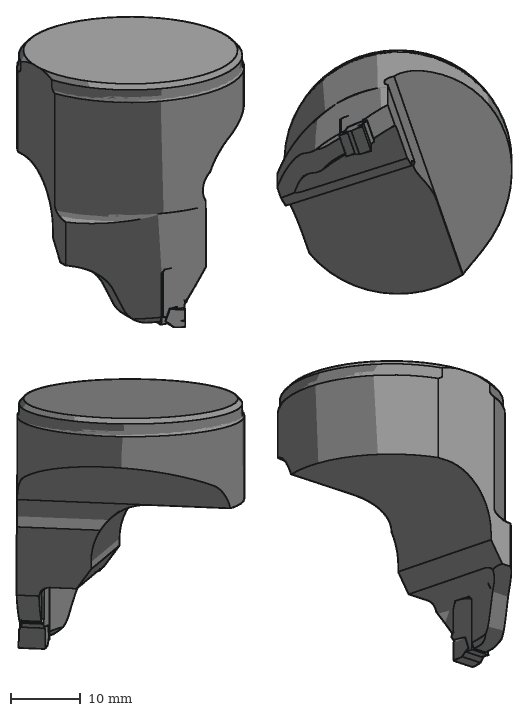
import cadquery as cq
import math

head_radius = 16.3
rim_radius = 16.02
top_face_radius = 15.35
rim_chamfer_height = 0.7
rim_bottom_z = -1.75
rim_flare_middle = (16.09, -2.2)
rim_flare_bottom_z = -2.5
head_bottom_z = -19.45
front_flat_y = -15.3
reach = 2 * head_radius

blade_radius = 20.0
blade_outer_axis = (-3.75, 0.2)
blade_inner_axis = (-7.0, 0)
blade_bottom_z = -35.9
chamfer_height = 0.8
chamfer_width = 0.4
shelf_z = -27.3
shelf_fillet = 1.6
flare_radius = 1.5

relief_z = -14.55
relief_radius = 8.8
relief_wall_x = 5.0
relief_wall_bottom_z = -24.4
relief_chamfer_end = (7.9, -28.4)

back_slope_start = (head_radius, -7.0)
back_slope_end = (8.17, -10.68)
back_curve_middle = (6.33, -12.05)
back_curve_end = (4.6, -14.5)
back_hollow_middle = (3.25, -16.7)
back_wall_y = 3.75
back_wall_top_z = -18.65
jaw_slope_top_z = -28.6
jaw_slope_end = (0.45, -33.05)

runout_top_z = -27.5
runout_start_y = -14.86
runout_hollow_radius = 5.3
runout_round_radius = 3.9
runout_angle = math.radians(66.3)

insert_left_x = 12.65
insert_right_x = 15.95
insert_front_y = -3.48
insert_rake_y = 0.1
insert_tip_z = -37.0
cutting_head_left_x = 12.5
cutting_head_right_x = 16.5
cutting_head_front_left_x = 12.58
cutting_head_front_right_x = 16.05
cutting_head_front_y = -2.9
cutting_head_top_z = -33.75
cutting_head_bevel_height = 0.55
cutting_head_upper_right_x = 16.4
cutting_corner_z = -36.1
cutting_corner_chamfer = 0.15


def revolved(profile, axis=(0, 0)):
    """Turn an (r, z) profile about a vertical axis through the given (x, y)."""
    turned = profile.close().revolve(360, (0, 0, 0), (0, 1, 0))
    return turned.translate((axis[0], axis[1], 0))


def arc_middle(centre, radius, angle):
    return (centre[0] + radius * math.cos(angle), centre[1] + radius * math.sin(angle))


def make_head_disc():
    profile = (
        cq.Workplane("XZ")
        .moveTo(0, 0)
        .lineTo(top_face_radius, 0)
        .lineTo(rim_radius, -rim_chamfer_height)
        .lineTo(rim_radius, rim_bottom_z)
        .threePointArc(rim_flare_middle, (head_radius, rim_flare_bottom_z))
        .lineTo(head_radius, head_bottom_z)
        .lineTo(0, head_bottom_z)
    )
    return revolved(profile)


def make_blade_blank():
    """Round blade blank, trimmed above by the flare that leads into the head wall."""
    blank_profile = (
        cq.Workplane("XZ")
        .moveTo(0, relief_z)
        .lineTo(blade_radius, relief_z)
        .lineTo(blade_radius, blade_bottom_z + chamfer_height)
        .lineTo(blade_radius - chamfer_width, blade_bottom_z)
        .lineTo(0, blade_bottom_z)
    )
    blank = revolved(blank_profile, blade_outer_axis)
    flare_centre = (head_radius + flare_radius, head_bottom_z)
    flare_bottom_z = head_bottom_z - flare_radius
    envelope = (
        cq.Workplane("XZ")
        .moveTo(0, relief_z)
        .lineTo(head_radius, relief_z)
        .lineTo(head_radius, head_bottom_z)
        .threePointArc(
            arc_middle(flare_centre, flare_radius, math.radians(225)),
            (flare_centre[0], flare_bottom_z),
        )
        .lineTo(reach, flare_bottom_z)
        .lineTo(reach, blade_bottom_z)
        .lineTo(0, blade_bottom_z)
    )
    return blank.intersect(revolved(envelope))


def make_front_flat_cutter():
    return cq.Workplane("XY").box(4 * reach, reach, 4 * reach).translate((0, front_flat_y - reach / 2, 0))


def make_side_relief_cutter():
    centre = (relief_wall_x - relief_radius, relief_z - relief_radius)
    return (
        cq.Workplane("XZ")
        .moveTo(-reach, relief_z)
        .lineTo(centre[0], relief_z)
        .threePointArc(
            arc_middle(centre, relief_radius, math.radians(45)),
            (relief_wall_x, centre[1]),
        )
        .lineTo(relief_wall_x, relief_wall_bottom_z)
        .lineTo(*relief_chamfer_end)
        .lineTo(relief_chamfer_end[0], insert_tip_z)
        .lineTo(-reach, insert_tip_z)
        .close()
        .extrude(reach, both=True)
    )


def make_back_relief_cutter():
    return (
        cq.Workplane("YZ")
        .moveTo(*back_slope_start)
        .lineTo(*back_slope_end)
        .threePointArc(back_curve_middle, back_curve_end)
        .threePointArc(back_hollow_middle, (back_wall_y, back_wall_top_z))
        .lineTo(back_wall_y, jaw_slope_top_z)
        .lineTo(*jaw_slope_end)
        .lineTo(insert_rake_y, jaw_slope_end[1])
        .lineTo(insert_rake_y, insert_tip_z)
        .lineTo(reach, insert_tip_z)
        .lineTo(reach, back_slope_start[1])
        .close()
        .extrude(reach, both=True)
    )


def make_runout_cutter():
    """Sweeps from the front flat down to the blade bottom: hollow, straight, round."""
    hollow_centre = (runout_start_y, runout_top_z - runout_hollow_radius)
    hollow_end = arc_middle(hollow_centre, runout_hollow_radius, math.pi / 2 - runout_angle)
    round_start_z = blade_bottom_z + runout_round_radius * (1 - math.cos(runout_angle))
    round_start_y = hollow_end[0] + (hollow_end[1] - round_start_z) / math.tan(runout_angle)
    round_centre = (
        round_start_y + runout_round_radius * math.sin(runout_angle),
        blade_bottom_z + runout_round_radius,
    )
    return (
        cq.Workplane("YZ")
        .moveTo(-reach, runout_top_z)
        .lineTo(runout_start_y, runout_top_z)
        .threePointArc(
            arc_middle(hollow_centre, runout_hollow_radius, math.pi / 2 - runout_angle / 2),
            hollow_end,
        )
        .lineTo(round_start_y, round_start_z)
        .threePointArc(
            arc_middle(round_centre, runout_round_radius, -math.pi / 2 - runout_angle / 2),
            (round_centre[0], blade_bottom_z),
        )
        .lineTo(round_centre[0], insert_tip_z)
        .lineTo(-reach, insert_tip_z)
        .close()
        .extrude(reach, both=True)
    )


def make_inner_wall_cutter():
    """Clears the inside of the blade below the shelf, with a fillet and a bottom chamfer."""
    fillet_centre = (blade_radius - shelf_fillet, shelf_z - shelf_fillet)
    profile = (
        cq.Workplane("XZ")
        .moveTo(0, shelf_z)
        .lineTo(fillet_centre[0], shelf_z)
        .threePointArc(
            arc_middle(fillet_centre, shelf_fillet, math.radians(45)),
            (blade_radius, fillet_centre[1]),
        )
        .lineTo(blade_radius, blade_bottom_z + chamfer_height)
        .lineTo(blade_radius + chamfer_width, blade_bottom_z)
        .lineTo(0, blade_bottom_z)
    )
    return revolved(profile, blade_inner_axis)


def make_insert():
    side_outline = [
        (-0.1, -27.9),
        (-2.95, -27.95),
        (insert_front_y, -28.5),
        (insert_front_y, -35.8),
        (-3.6, -36.2),
        (-2.3, -36.2),
        (-1.65, -36.8),
        (insert_rake_y, insert_tip_z),
        (insert_rake_y, -33.95),
        (0.65, -33.25),
        (0.65, -33.05),
        (0.32, -32.55),
        (0.32, -29.3),
    ]
    head_outline = [
        (insert_rake_y, cutting_head_top_z),
        (-2.2, -33.95),
        (cutting_head_front_y, -35.8),
        (-2.3, -36.2),
        (-1.65, -36.8),
        (insert_rake_y, insert_tip_z),
    ]
    bar = (
        cq.Workplane("YZ", origin=(insert_left_x, 0, 0))
        .polyline(side_outline).close()
        .extrude(insert_right_x - insert_left_x)
    )
    head = (
        cq.Workplane("YZ", origin=(cutting_head_left_x, 0, 0))
        .polyline(head_outline).close()
        .extrude(cutting_head_right_x - cutting_head_left_x)
    )
    side_relief = (
        cq.Workplane("XY", origin=(0, 0, insert_tip_z))
        .moveTo(cutting_head_left_x, insert_rake_y)
        .lineTo(cutting_head_right_x, insert_rake_y)
        .lineTo(cutting_head_front_right_x, cutting_head_front_y)
        .lineTo(cutting_head_front_left_x, cutting_head_front_y)
        .close()
        .extrude(-insert_tip_z)
    )
    bevel_bottom_z = cutting_head_top_z - cutting_head_bevel_height
    corner_top_z = insert_tip_z + cutting_corner_chamfer
    front_outline = (
        cq.Workplane("XZ")
        .moveTo(insert_left_x, cutting_head_top_z)
        .lineTo(cutting_head_left_x, bevel_bottom_z)
        .lineTo(cutting_head_left_x, corner_top_z)
        .lineTo(cutting_head_left_x + cutting_corner_chamfer, insert_tip_z)
        .lineTo(cutting_head_right_x - cutting_corner_chamfer, insert_tip_z)
        .lineTo(cutting_head_right_x, corner_top_z)
        .lineTo(cutting_head_right_x, cutting_corner_z)
        .lineTo(cutting_head_upper_right_x, cutting_corner_z + cutting_corner_chamfer)
        .lineTo(cutting_head_upper_right_x, bevel_bottom_z)
        .lineTo(insert_right_x, cutting_head_top_z)
        .close()
        .extrude(reach, both=True)
    )
    return bar.union(head.intersect(side_relief).intersect(front_outline))


insert = make_insert()
holder = (
    make_head_disc()
    .union(make_blade_blank())
    .cut(make_front_flat_cutter())
    .cut(make_side_relief_cutter())
    .cut(make_back_relief_cutter())
    .cut(make_runout_cutter())
    .cut(make_inner_wall_cutter())
    .cut(insert)
)

result = cq.Compound.makeCompound([holder.val(), insert.val()])